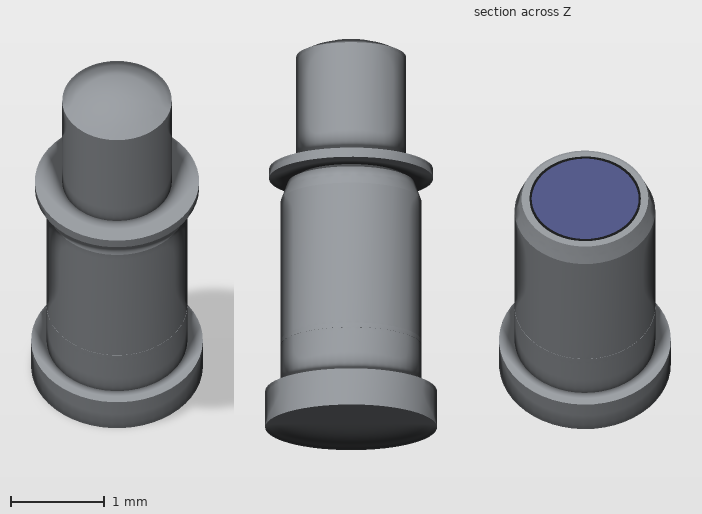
import cadquery as cq

flange_diameter = 1.83
barrel_diameter = 1.5
band_diameter = 1.505
shoulder_diameter = 1.35
washer_diameter = 1.75
plunger_diameter = 1.17

total_height = 4.25
flange_top = 0.4
band_bottom = 0.9
band_height = 0.05
taper_bottom = 2.5
taper_top = 2.7
washer_bottom = 2.75
washer_thickness = 0.1
dome_height = 0.155

dome_base = total_height - dome_height
plunger_radius = plunger_diameter / 2
dome_radius = (plunger_radius**2 + dome_height**2) / (2 * dome_height)
dome_center = total_height - dome_radius
dome_mid_radius = plunger_radius / 2
dome_mid_height = dome_center + (dome_radius**2 - dome_mid_radius**2) ** 0.5


def disc(diameter, bottom, top):
    """Solid cylinder on the part axis between two heights."""
    return cq.Workplane("XY").workplane(offset=bottom).circle(diameter / 2).extrude(top - bottom)


def barrel():
    """Cylindrical barrel with a tapered shoulder at its upper end."""
    return (
        cq.Workplane("XZ")
        .lineTo(barrel_diameter / 2, 0)
        .lineTo(barrel_diameter / 2, taper_bottom)
        .lineTo(shoulder_diameter / 2, taper_top)
        .lineTo(0, taper_top)
        .close()
        .revolve(360, (0, 0, 0), (0, 1, 0))
    )


def plunger():
    """Plunger rising from the barrel to a spherical tip."""
    return (
        cq.Workplane("XZ")
        .moveTo(0, taper_bottom)
        .lineTo(plunger_radius, taper_bottom)
        .lineTo(plunger_radius, dome_base)
        .threePointArc((dome_mid_radius, dome_mid_height), (0, total_height))
        .close()
        .revolve(360, (0, 0, 0), (0, 1, 0))
    )


flange = disc(flange_diameter, 0, flange_top)
band = disc(band_diameter, band_bottom, band_bottom + band_height)
washer = disc(washer_diameter, washer_bottom, washer_bottom + washer_thickness)

result = barrel().union(flange).union(band).union(plunger()).union(washer)